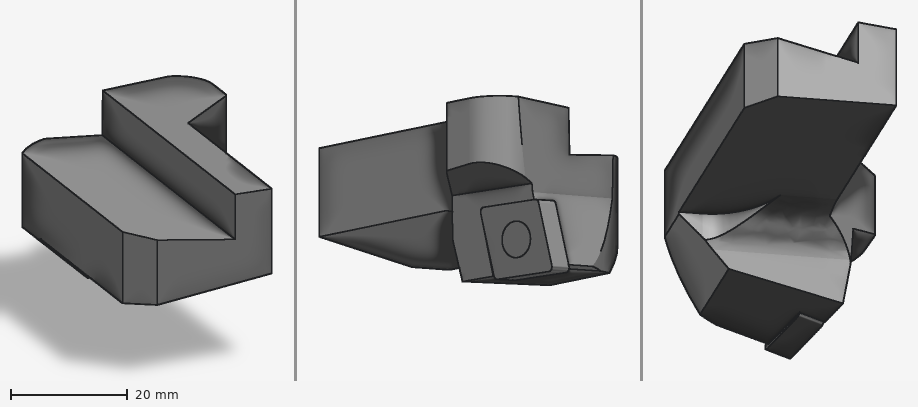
import cadquery as cq
import math


LENGTH = 61.0
WIDTH = 37.6
DEPTH = 30.2

NOSE_ARC_START_X = 13.85
NOSE_ARC_MID = (6.4, 7.25)
NOSE_ARC_END = (2.3, 16.15)
NOSE_REAR_Y = 28.05
HEAD_LEFT_X = 2.7
HEAD_RADIUS = 6.95
HEAD_STEP_Y = 29.6
HEAD_RIGHT_X = 15.55
HEAD_CORNER_RADIUS = 1.2
RIB_START_X = 25.4
RIB_BACK_Y = 26.0
END_CHAMFER = 4.5

LEDGE_Y = 19.1
LEDGE_Z = -8.25
LEDGE_FRONT_Z = -5.55
FRONT_BOTTOM_Z = -19.0
CHAMFER_Y = 9.4
CHAMFER_Z = -27.55
NOSE_BOTTOM_SLOPE = 0.102
NOSE_EDGE_BEVEL = 0.5

UPPER_FLANK = {"base": 7.45, "y_slope": -0.14, "z_slope": 0.03}
LOWER_FLANK = {"base": 9.6, "y_slope": -0.125, "z_slope": 0.188}

BAR_BOTTOM_Z = -18.6
BAR_BOTTOM_SLOPE = 0.12
NOSE_FRONT_RIGHT_X = 21.5
NOSE_RIGHT_X = 22.45
NOSE_RIGHT_ANGLE = 11.5
NOSE_RIGHT_FILLET = 8.55
NOSE_FRONT_SIDE_Y = 4.25
NOSE_FRONT_RADIUS = 12.2

TIP_X = -0.135
TIP_Y = 27.15
RAKE_X_SLOPE = 0.155
RAKE_Z_SLOPE = 0.11
INSERT_CIRCLE = 12.7
INSERT_ANGLE = 80.0
INSERT_THICKNESS = 4.7
INSERT_RADIUS = 0.8
HOLE_DIAMETER = 4.6
COUNTERSINK_DIAMETER = 6.3
COUNTERSINK_ANGLE = 60.0
SEAT_CLEARANCE = 3.05

GULLET_Y = 27.45
GULLET_X_SLOPE = 0.15
GULLET_Z_SLOPE = 0.09
OVERHANG_Z = -14.75
OVERHANG_SLOPE = 0.45

REACH = 3 * LENGTH
OVERRUN = 0.6
MID_ARC = math.sqrt(0.5)

TIP = cq.Vector(TIP_X, TIP_Y, -DEPTH)
RAKE_NORMAL = cq.Vector(-RAKE_X_SLOPE, 1, -RAKE_Z_SLOPE)
RAKE_EDGE = cq.Vector(1, RAKE_X_SLOPE, 0)
INSERT_PLANE = cq.Plane(origin=TIP, xDir=RAKE_EDGE, normal=RAKE_NORMAL * -1)
INSERT_SIDE = INSERT_CIRCLE / math.sin(math.radians(INSERT_ANGLE))
INSERT_SHIFT = INSERT_SIDE * math.cos(math.radians(INSERT_ANGLE))


def half_space(origin, normal):
    """Large block on the side of a plane to which the normal points."""
    return cq.Workplane(cq.Plane(origin=origin, normal=normal)).rect(REACH, REACH).extrude(REACH)


def left_of_flank(flank):
    """Space to the left of a flank plane of the nose."""
    return half_space((flank["base"], 0, 0), (-1, flank["y_slope"], flank["z_slope"]))


def cross_section():
    """Full-length bar: raised rib at the back, sloping ledge and bevelled front bottom edge."""
    back_bottom_z = CHAMFER_Z - NOSE_BOTTOM_SLOPE * (WIDTH - CHAMFER_Y)
    points = [
        (WIDTH, 0),
        (LEDGE_Y, 0),
        (LEDGE_Y, LEDGE_Z),
        (0, LEDGE_FRONT_Z),
        (0, FRONT_BOTTOM_Z),
        (CHAMFER_Y, CHAMFER_Z),
        (WIDTH, back_bottom_z),
    ]
    return cq.Workplane("YZ").polyline(points).close().extrude(LENGTH)


def plan_outline():
    """Vertical prism of the plan: rounded nose, rounded head, narrow bar.

    The stretch at X = 0 leaves room for the nose, which the flank planes trim.
    """
    head_center = (HEAD_LEFT_X + HEAD_RADIUS, WIDTH - HEAD_RADIUS)
    head_mid = (
        head_center[0] - HEAD_RADIUS * MID_ARC,
        head_center[1] + HEAD_RADIUS * MID_ARC,
    )
    outline = (
        cq.Workplane("XY", origin=(0, 0, -DEPTH - OVERRUN))
        .moveTo(LENGTH - END_CHAMFER, 0)
        .lineTo(NOSE_ARC_START_X, 0)
        .threePointArc(NOSE_ARC_MID, NOSE_ARC_END)
        .lineTo(0, NOSE_REAR_Y)
        .lineTo(HEAD_LEFT_X, HEAD_STEP_Y)
        .lineTo(HEAD_LEFT_X, head_center[1])
        .threePointArc(head_mid, (head_center[0], WIDTH))
        .lineTo(HEAD_RIGHT_X, WIDTH)
        .lineTo(RIB_START_X, RIB_BACK_Y)
        .lineTo(LENGTH, RIB_BACK_Y)
        .lineTo(LENGTH, END_CHAMFER)
        .close()
        .extrude(DEPTH + 2 * OVERRUN)
    )
    head_corner = cq.selectors.NearestToPointSelector((HEAD_RIGHT_X, WIDTH, -DEPTH / 2))
    return outline.edges("|Z").edges(head_corner).fillet(HEAD_CORNER_RADIUS)


def bar_undercut():
    """Space below the bar, ending at the right flank of the nose with a fillet."""
    lean = math.radians(NOSE_RIGHT_ANGLE)
    tangent = NOSE_RIGHT_FILLET * math.tan((math.pi / 2 - lean) / 2)
    center = (NOSE_RIGHT_X + tangent, BAR_BOTTOM_Z - NOSE_RIGHT_FILLET)
    mid_angle = (math.pi / 2 + math.pi - lean) / 2
    arc_mid = (
        center[0] + NOSE_RIGHT_FILLET * math.cos(mid_angle),
        center[1] + NOSE_RIGHT_FILLET * math.sin(mid_angle),
    )
    arc_end = (
        NOSE_RIGHT_X - tangent * math.sin(lean),
        BAR_BOTTOM_Z - tangent * math.cos(lean),
    )
    drop = DEPTH
    flank_end = (NOSE_RIGHT_X - drop * math.tan(lean), BAR_BOTTOM_Z - drop)
    profile = (
        cq.Workplane("XZ")
        .moveTo(LENGTH + OVERRUN, BAR_BOTTOM_Z)
        .lineTo(center[0], BAR_BOTTOM_Z)
        .threePointArc(arc_mid, arc_end)
        .lineTo(*flank_end)
        .lineTo(LENGTH + OVERRUN, flank_end[1])
        .close()
        .val()
    )
    rising_to_back = cq.Vector(0, WIDTH, BAR_BOTTOM_SLOPE * WIDTH)
    return cq.Workplane(cq.Solid.extrudeLinear(profile, [], rising_to_back))


def nose_front_relief():
    """Space below the bar and in front of the nose's right flank, with a concave back wall."""
    corner_x = NOSE_FRONT_RIGHT_X + NOSE_FRONT_RADIUS
    wall_y = NOSE_FRONT_SIDE_Y + NOSE_FRONT_RADIUS
    offset = NOSE_FRONT_RADIUS * MID_ARC
    plan = (
        cq.Workplane("XY", origin=(0, 0, -DEPTH))
        .moveTo(NOSE_FRONT_RIGHT_X, 0)
        .lineTo(NOSE_FRONT_RIGHT_X, NOSE_FRONT_SIDE_Y)
        .threePointArc((corner_x - offset, NOSE_FRONT_SIDE_Y + offset), (corner_x, wall_y))
        .lineTo(LENGTH, wall_y)
        .lineTo(LENGTH, 0)
        .close()
        .extrude(DEPTH)
    )
    below_bar = half_space((0, 0, BAR_BOTTOM_Z), (0, BAR_BOTTOM_SLOPE, -1))
    return plan.intersect(below_bar)


def nose_edge_bevel():
    """Space outside the bevel between the lower flank and the nose bottom."""
    flank_normal = cq.Vector(-1, LOWER_FLANK["y_slope"], LOWER_FLANK["z_slope"])
    bottom_normal = cq.Vector(0, -NOSE_BOTTOM_SLOPE, -1)
    outward = (flank_normal.normalized() + bottom_normal.normalized()).normalized()
    flank_x = LOWER_FLANK["base"] + LOWER_FLANK["y_slope"] * CHAMFER_Y + LOWER_FLANK["z_slope"] * CHAMFER_Z
    edge_point = cq.Vector(flank_x, CHAMFER_Y, CHAMFER_Z)
    return half_space(edge_point - outward * NOSE_EDGE_BEVEL, outward)


def gullet():
    """Space behind the gullet wall and under the overhang."""
    wall_normal = (-GULLET_X_SLOPE, 1, -GULLET_Z_SLOPE)
    overhang_y = GULLET_Y + GULLET_Z_SLOPE * (OVERHANG_Z + DEPTH)
    overhang_normal = (-GULLET_X_SLOPE * OVERHANG_SLOPE, OVERHANG_SLOPE, -1)
    behind = half_space((0, GULLET_Y, -DEPTH), wall_normal)
    below = half_space((0, overhang_y, OVERHANG_Z), overhang_normal)
    return behind.intersect(below)


def rhombic_prism(height):
    """Prism with the insert's outline: forward of the rake plane, or behind it if negative."""
    points = [
        (0, 0),
        (INSERT_SIDE, 0),
        (INSERT_SIDE + INSERT_SHIFT, INSERT_CIRCLE),
        (INSERT_SHIFT, INSERT_CIRCLE),
    ]
    prism = cq.Workplane(INSERT_PLANE).polyline(points).close().extrude(height)
    side_edges = cq.selectors.ParallelDirSelector(RAKE_NORMAL)
    return prism.edges(side_edges).fillet(INSERT_RADIUS)


def make_insert():
    """Insert with a countersunk hole through its middle."""
    center = INSERT_PLANE.toWorldCoords(((INSERT_SIDE + INSERT_SHIFT) / 2, INSERT_CIRCLE / 2))
    hole_plane = cq.Plane(origin=center, xDir=RAKE_EDGE, normal=RAKE_NORMAL)
    blank = rhombic_prism(INSERT_THICKNESS)
    return blank.copyWorkplane(cq.Workplane(hole_plane)).cskHole(
        HOLE_DIAMETER, COUNTERSINK_DIAMETER, COUNTERSINK_ANGLE
    )


def make_housing(insert):
    """Housing whose screw, one piece with it, fills the insert's hole flush with the rake face."""
    body = cross_section().intersect(plan_outline())
    body = body.cut(left_of_flank(UPPER_FLANK).intersect(left_of_flank(LOWER_FLANK)))
    body = body.cut(nose_edge_bevel())
    body = body.cut(bar_undercut())
    body = body.cut(nose_front_relief())
    body = body.cut(gullet())
    return body.cut(insert).cut(rhombic_prism(-SEAT_CLEARANCE))


insert = make_insert()
housing = make_housing(insert)

result = cq.Compound.makeCompound([housing.solids().val(), insert.solids().val()])